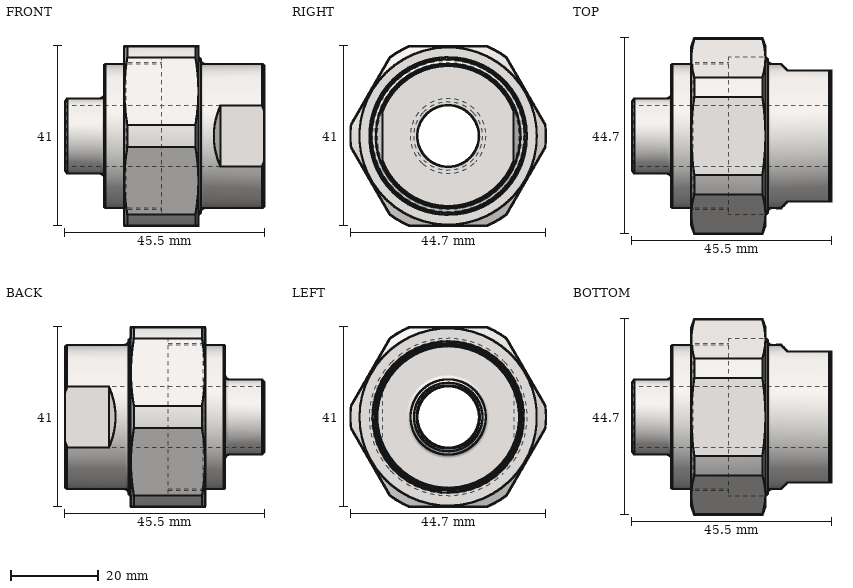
import cadquery as cq
import math

TOTAL_LENGTH = 45.5
BORE_RADIUS = 14.0 / 2

TUBE_RADIUS = 17.2 / 2
TUBE_TIP_OUTER_RADIUS = 7.83
TUBE_TIP_CHAMFER_LENGTH = 0.55
TUBE_MOUTH_RADIUS = 7.25
TUBE_MOUTH_DEPTH = 0.25
FLANGE_RADIUS = 33.0 / 2
FLANGE_START = 8.95
FLANGE_CHAMFER = 0.3
TUBE_FILLET = 0.95

NUT_START = 13.45
NUT_END = 30.55
NUT_ACROSS_FLATS = 41.0
NUT_CORNER_RADIUS = 44.7 / 2
NUT_FACE_RADIUS = 20.25
NUT_CHAMFER_ANGLE = 20.0
NUT_LIP_RADIUS = 33.5 / 2
NUT_LIP_CHAMFER = 0.5

COLLAR_RADIUS = 36.0 / 2
COLLAR_END = NUT_END + 0.5
SOCKET_RADIUS = FLANGE_RADIUS
SOCKET_FILLET = 0.75
SOCKET_END_CHAMFER = 0.5
FLAT_OFFSET = 14.95
FLAT_START = 35.5
CUT_CLEARANCE = 0.45

JOINT = (NUT_START + NUT_END) / 2


def revolve_about_x(sketch):
    """Close a half profile drawn in XY and turn it around the pipe axis."""
    return sketch.close().revolve(360, (0, 0, 0), (1, 0, 0))


def fillet_middle(center_x, center_radius, radius, side):
    """Middle point of a concave fillet arc; side is -1 or +1 along X from its centre."""
    offset = radius * math.sqrt(0.5)
    return (center_x + side * offset, center_radius - offset)


def make_tailpiece():
    fillet_start = FLANGE_START - TUBE_FILLET
    fillet_top = TUBE_RADIUS + TUBE_FILLET
    profile = (
        cq.Workplane("XY")
        .moveTo(TUBE_MOUTH_DEPTH, BORE_RADIUS)
        .lineTo(0, TUBE_MOUTH_RADIUS)
        .lineTo(0, TUBE_TIP_OUTER_RADIUS)
        .lineTo(TUBE_TIP_CHAMFER_LENGTH, TUBE_RADIUS)
        .lineTo(fillet_start, TUBE_RADIUS)
        .threePointArc(
            fillet_middle(fillet_start, fillet_top, TUBE_FILLET, 1),
            (FLANGE_START, fillet_top),
        )
        .lineTo(FLANGE_START, FLANGE_RADIUS - FLANGE_CHAMFER)
        .lineTo(FLANGE_START + FLANGE_CHAMFER, FLANGE_RADIUS)
        .lineTo(JOINT, FLANGE_RADIUS)
        .lineTo(JOINT, BORE_RADIUS)
    )
    return revolve_about_x(profile)


def make_nut():
    nut_length = NUT_END - NUT_START
    across_corners = NUT_ACROSS_FLATS / math.cos(math.pi / 6)
    hexagon = (
        cq.Workplane("YZ", origin=(NUT_START, 0, 0))
        .polygon(6, across_corners)
        .extrude(nut_length)
    )
    bevel_depth = (NUT_CORNER_RADIUS - NUT_FACE_RADIUS) * math.tan(math.radians(NUT_CHAMFER_ANGLE))
    ring_profile = (
        cq.Workplane("XY")
        .moveTo(NUT_START, NUT_LIP_RADIUS + NUT_LIP_CHAMFER)
        .lineTo(NUT_START, NUT_FACE_RADIUS)
        .lineTo(NUT_START + bevel_depth, NUT_CORNER_RADIUS)
        .lineTo(NUT_END - bevel_depth, NUT_CORNER_RADIUS)
        .lineTo(NUT_END, NUT_FACE_RADIUS)
        .lineTo(NUT_END, COLLAR_RADIUS)
        .lineTo(JOINT, COLLAR_RADIUS)
        .lineTo(JOINT, NUT_LIP_RADIUS)
        .lineTo(NUT_START + NUT_LIP_CHAMFER, NUT_LIP_RADIUS)
    )
    return hexagon.intersect(revolve_about_x(ring_profile))


def make_flat_cutter():
    """Wedge-ended prism that cuts the wrench flat on the +Y side, with a 45 degree run-out."""
    cut_depth = SOCKET_RADIUS - FLAT_OFFSET + CUT_CLEARANCE
    return (
        cq.Workplane("XY")
        .moveTo(FLAT_START, FLAT_OFFSET)
        .lineTo(FLAT_START - cut_depth, FLAT_OFFSET + cut_depth)
        .lineTo(TOTAL_LENGTH, FLAT_OFFSET + cut_depth)
        .lineTo(TOTAL_LENGTH, FLAT_OFFSET)
        .close()
        .extrude(SOCKET_RADIUS, both=True)
    )


def make_socket():
    collar_chamfer = COLLAR_END - NUT_END
    fillet_end = COLLAR_END + SOCKET_FILLET
    fillet_top = SOCKET_RADIUS + SOCKET_FILLET
    profile = (
        cq.Workplane("XY")
        .moveTo(JOINT, BORE_RADIUS)
        .lineTo(JOINT, COLLAR_RADIUS)
        .lineTo(NUT_END, COLLAR_RADIUS)
        .lineTo(COLLAR_END, COLLAR_RADIUS - collar_chamfer)
        .lineTo(COLLAR_END, fillet_top)
        .threePointArc(
            fillet_middle(fillet_end, fillet_top, SOCKET_FILLET, -1),
            (fillet_end, SOCKET_RADIUS),
        )
        .lineTo(TOTAL_LENGTH - SOCKET_END_CHAMFER, SOCKET_RADIUS)
        .lineTo(TOTAL_LENGTH, SOCKET_RADIUS - SOCKET_END_CHAMFER)
        .lineTo(TOTAL_LENGTH, BORE_RADIUS)
    )
    flat_cutter = make_flat_cutter()
    return revolve_about_x(profile).cut(flat_cutter).cut(flat_cutter.mirror("XZ"))


tailpiece = make_tailpiece()
nut = make_nut()
socket = make_socket()

result = cq.Compound.makeCompound([tailpiece.solids().val(), nut.solids().val(), socket.solids().val()])